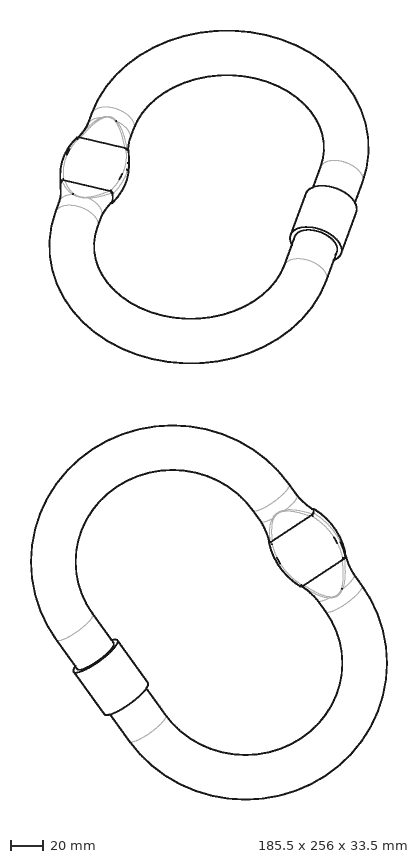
import cadquery as cq

ring_length = 256.0
bar_diameter = 28.0
straight_length = 79.8
bar_radius = bar_diameter / 2
bend_radius = (ring_length - straight_length) / 2 - bar_radius

collar_diameter = 33.5
collar_length = 33.5

pad_half_width = 20.5
pad_shoulder_half_width = 17.0
pad_half_length = 17.5
pad_thickness = 12.5
pad_edge_radius = 1.8
swell_half_length = 31.2
swell_middle_radius = 14.8
slope_end = 32.5
slope_edge_radius = 1.3
recess_clearance = 5.0


def leg(x, diameter, length):
    """Round bar parallel to Y, centred on y = 0."""
    return cq.Workplane("XZ", origin=(x, length / 2, 0)).circle(diameter / 2).extrude(length)


def bend(side):
    """Half-torus joining the two legs; side is +1 for the +Y end and -1 for the -Y end."""
    return (
        cq.Workplane("XZ", origin=(0, side * straight_length / 2, 0))
        .center(bend_radius, 0)
        .circle(bar_radius)
        .revolve(180, (-bend_radius, 0), (-bend_radius, side))
    )


def swell():
    """Leg section that widens from the bar to the pad shoulders, with sloped recesses above and below."""
    half_straight = straight_length / 2
    middle_y = (pad_half_length + swell_half_length) / 2
    body = (
        cq.Workplane("XY")
        .moveTo(0, -half_straight)
        .lineTo(bar_radius, -half_straight)
        .lineTo(bar_radius, -swell_half_length)
        .threePointArc((swell_middle_radius, -middle_y), (pad_shoulder_half_width, -pad_half_length))
        .lineTo(pad_shoulder_half_width, pad_half_length)
        .threePointArc((swell_middle_radius, middle_y), (bar_radius, swell_half_length))
        .lineTo(bar_radius, half_straight)
        .lineTo(0, half_straight)
        .close()
        .revolve(360, (0, 0), (0, 1))
    )
    floor = pad_thickness / 2
    slope = (bar_radius - floor) / (slope_end - pad_half_length)
    cutter_top = bar_radius + recess_clearance
    cutter_end = pad_half_length + (cutter_top - floor) / slope
    recess = (
        cq.Workplane("YZ")
        .polyline([
            (-pad_half_length, floor),
            (pad_half_length, floor),
            (cutter_end, cutter_top),
            (-cutter_end, cutter_top),
        ])
        .close()
        .extrude(pad_half_width, both=True)
    )
    flattened = body.cut(recess).cut(recess.mirror("XY"))
    slopes = flattened.faces("%PLANE").faces("not(|Y or |Z)")
    return slopes.edges("not |X").fillet(slope_edge_radius)


def pad():
    """Flat plate with bowed sides and rounded rims."""
    return (
        cq.Workplane("XY", origin=(0, 0, -pad_thickness / 2))
        .moveTo(-pad_shoulder_half_width, -pad_half_length)
        .lineTo(pad_shoulder_half_width, -pad_half_length)
        .threePointArc((pad_half_width, 0), (pad_shoulder_half_width, pad_half_length))
        .lineTo(-pad_shoulder_half_width, pad_half_length)
        .threePointArc((-pad_half_width, 0), (-pad_shoulder_half_width, -pad_half_length))
        .close()
        .extrude(pad_thickness)
        .faces("|Z")
        .edges("%CIRCLE")
        .fillet(pad_edge_radius)
    )


marked_leg = swell().union(pad()).translate((-bend_radius, 0, 0))
plain_leg = leg(bend_radius, bar_diameter, straight_length)
collar = leg(bend_radius, collar_diameter, collar_length)

result = bend(1).union(bend(-1)).union(plain_leg).union(collar).union(marked_leg)